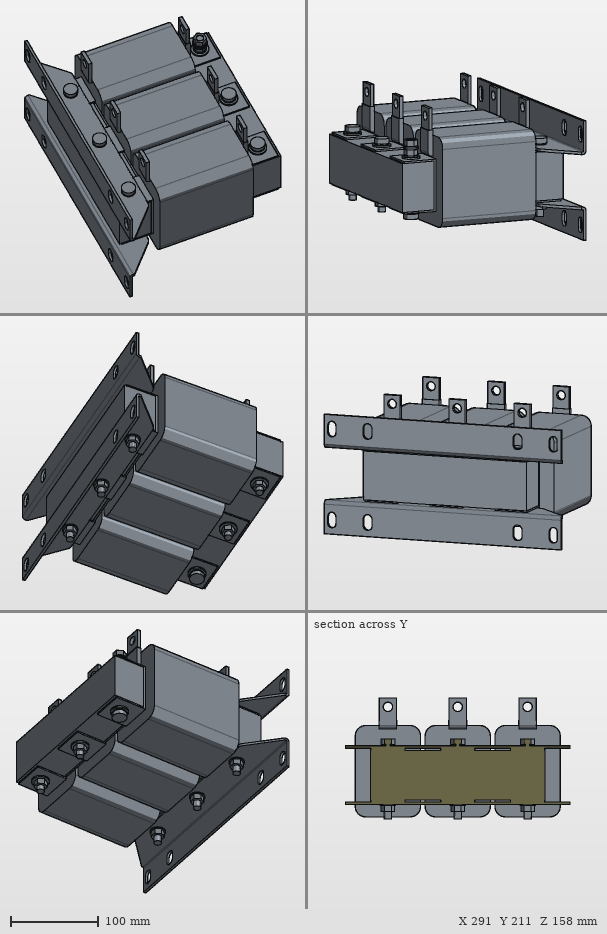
import cadquery as cq
import math


total_width = 291.0
total_depth = 211.0
total_height = 158.0
coil_pitch = 80.0
phase_positions = [-coil_pitch, 0, coil_pitch]

coil_width = 75.0
coil_height = 105.0
coil_bottom = 21.5
coil_front = 50.5
coil_rear = 168.2
coil_corner_radius = 12.2
coil_top = coil_bottom + coil_height

insulation_thickness = 2.0
insulation_inset = 0.3
insulation_width = coil_pitch / 2 - 2 * insulation_inset
insulation_setback = 3.0
yoke_width = 2.5 * coil_pitch
yoke_height = 57.0
yoke_depth = 40.0
yoke_gap = 3.0
spacer_clearance = 0.5
front_yoke_face = coil_front - yoke_gap - yoke_depth

bracket_height = 39.0
bracket_depth = 42.0
bracket_thickness = 3.2
bracket_end_depth = 5.8
bracket_rear_width = 213.5
bracket_corner_radius = 5.8
bend_inner_radius = 1.2
bend_outer_radius = bend_inner_radius + bracket_thickness
slot_height = 18.0
slot_level = 16.5
slots = [(136.2, 10.0), (92.2, 11.0)]

insulation_bottom = bracket_height
yoke_bottom = insulation_bottom + insulation_thickness
yoke_top = yoke_bottom + yoke_height
insulation_top = yoke_top + insulation_thickness
mid_height = (yoke_bottom + yoke_top) / 2
bracket_seat_top = insulation_top + bracket_thickness
bracket_seat_bottom = insulation_bottom - bracket_thickness

terminal_width = 20.0
terminal_thickness = 4.5
terminal_hole_diameter = 10.5
terminal_hole_drop = 10.2
terminal_clearance = 0.45
front_terminal_bottom = 122.5
rear_terminal_bottom = 102.0
terminal_bend_radius = 4.0
sleeve_width = 21.0
sleeve_thickness = 5.8
sleeve_top = 132.5

nut_across_flats = 13.5
nut_height = 7.0
stud_diameter = 8.7
front_bolt_y = 28.2
front_head_diameter = 16.3
front_head_height = 6.5
front_collar_diameter = 14.5
front_collar_height = 1.5
front_washer_diameter = 17.8
front_washer_height = 1.0
front_stud_end = 8.7
rear_bolt_y = 191.0
rear_head_diameter = 17.2
rear_head_height = 6.0
washer_diameter = 20.7
washer_height = 1.9
spring_washer_diameter = 15.5
spring_washer_height = 1.6
rear_stud_length = 15.5
upper_washer_height = 2.18
stud_recess = 1.5


def box(width, y_start, y_end, z_start, z_end, x=0):
    """Block centred on x between the given Y and Z limits."""
    block = cq.Workplane("XY").box(width, y_end - y_start, z_end - z_start, centered=(True, False, False))
    return block.translate((x, y_start, z_start))


def stack(x, y, z, direction, layers):
    """Fastener parts piled up from height z; direction is 1 for up, -1 for down.

    Each layer is (shape, size, height), with size a diameter or a distance across flats.
    """
    pile = cq.Workplane("XY")
    for shape, size, height in layers:
        plane = cq.Workplane("XY", origin=(x, y, z))
        if shape == "hex":
            outline = plane.polygon(6, size / math.cos(math.pi / 6))
        else:
            outline = plane.circle(size / 2)
        pile = pile.add(outline.extrude(direction * height))
        z += direction * height
    return pile.combine()


def coil(x):
    block = box(coil_width, coil_front, coil_rear, coil_bottom, coil_top, x)
    return block.edges("|Y").fillet(coil_corner_radius)


def core():
    """Two yokes, each with a slightly smaller spacer plate on the side facing the coils."""
    front_yoke_rear = front_yoke_face + yoke_depth
    rear_yoke_front = coil_rear + yoke_gap
    spacer_width = yoke_width - 2 * insulation_inset
    spacer_bottom = yoke_bottom + insulation_inset
    spacer_top = yoke_top - insulation_inset
    front_spacer_end = coil_front - spacer_clearance
    rear_spacer_end = coil_rear + spacer_clearance

    front = box(yoke_width, front_yoke_face, front_yoke_rear, yoke_bottom, yoke_top)
    rear = box(yoke_width, rear_yoke_front, total_depth, yoke_bottom, yoke_top)
    front = front.union(box(spacer_width, front_yoke_rear, front_spacer_end, spacer_bottom, spacer_top))
    return front.union(rear).union(
        box(spacer_width, rear_spacer_end, rear_yoke_front, spacer_bottom, spacer_top)
    )


def insulation(x):
    """Tongue above and below both yokes, modelled as a tall block around them."""
    y_start = front_yoke_face + insulation_setback
    y_end = total_depth - insulation_setback
    return box(insulation_width, y_start, y_end, insulation_bottom, insulation_top, x)


def lower_bracket():
    """Angle with a slotted front flange and a tapered plate under the core."""
    angle = box(total_width, 0, bracket_depth, 0, bracket_height)
    hollow = box(total_width, bracket_thickness, bracket_depth, 0, bracket_seat_bottom)
    hollow = hollow.edges("|X and >Z and <Y").fillet(bend_inner_radius)
    angle = angle.cut(hollow)
    angle = angle.edges("|X and >Z and <Y").fillet(bend_outer_radius)

    plan = (
        cq.Workplane("XY")
        .moveTo(-total_width / 2, 0)
        .lineTo(total_width / 2, 0)
        .lineTo(total_width / 2, bracket_end_depth)
        .lineTo(bracket_rear_width / 2, bracket_depth)
        .lineTo(-bracket_rear_width / 2, bracket_depth)
        .lineTo(-total_width / 2, bracket_end_depth)
        .close()
        .extrude(bracket_height)
        .edges("|Z and >Y")
        .fillet(bracket_corner_radius)
    )
    angle = angle.intersect(plan)

    for distance, width in slots:
        cutter = (
            cq.Workplane("XZ")
            .pushPoints([(-distance, slot_level), (distance, slot_level)])
            .slot2D(slot_height, width, 90)
            .extrude(-bracket_thickness)
        )
        angle = angle.cut(cutter)
    return angle


def terminal(x, y_coil, outward, bottom):
    """Upright strip bent out of the coil end; outward is -1 at the front and 1 at the rear."""
    y_inner = y_coil + outward * terminal_clearance
    y_outer = y_inner + outward * terminal_thickness
    strip = box(terminal_width, min(y_inner, y_outer), max(y_inner, y_outer), bottom, total_height, x)
    if outward > 0:
        y_sleeve = y_coil + sleeve_thickness
        strip = strip.union(box(sleeve_width, y_coil, y_sleeve, bottom, sleeve_top, x))
    outer_edge = ">Y" if outward > 0 else "<Y"
    strip = strip.faces("<Z").edges(outer_edge).fillet(terminal_bend_radius)
    root = box(
        terminal_width, min(y_coil, y_inner), max(y_coil, y_inner), bottom, bottom + terminal_thickness, x
    )
    hole = (
        cq.Workplane("XZ", origin=(x, 0, total_height - terminal_hole_drop))
        .circle(terminal_hole_diameter / 2)
        .extrude(-total_depth)
    )
    return strip.union(root).cut(hole)


def front_bolt(x):
    head = [
        ("round", front_collar_diameter, front_collar_height),
        ("round", front_head_diameter, front_head_height),
    ]
    nut = [
        ("round", front_washer_diameter, front_washer_height),
        ("hex", nut_across_flats, nut_height),
        ("round", stud_diameter, front_stud_end),
    ]
    upper = stack(x, front_bolt_y, bracket_seat_top, 1, head)
    return upper.union(stack(x, front_bolt_y, bracket_seat_bottom, -1, nut))


washers = [
    ("round", washer_diameter, washer_height),
    ("round", spring_washer_diameter, spring_washer_height),
]
rear_head = washers + [("round", rear_head_diameter, rear_head_height)]


def rear_bolt(x):
    """Bolt with its head on top and its nut below."""
    nut = [("round", washer_diameter, washer_height), ("hex", nut_across_flats, nut_height)]
    stud = [("round", stud_diameter, rear_stud_length)]
    bolt = stack(x, rear_bolt_y, insulation_top, 1, rear_head)
    bolt = bolt.union(stack(x, rear_bolt_y, insulation_bottom, -1, nut))
    return bolt.union(stack(x, rear_bolt_y, insulation_bottom, -1, stud))


def earth_bolt(x):
    """Bolt with its head below and two nuts on top, the stud ending inside the upper nut."""
    nuts = washers + [
        ("hex", nut_across_flats, nut_height),
        ("round", rear_head_diameter, upper_washer_height),
        ("round", spring_washer_diameter, spring_washer_height),
        ("hex", nut_across_flats, nut_height),
    ]
    top = insulation_top + sum(height for _, _, height in nuts)
    recess = stack(x, rear_bolt_y, top, -1, [("round", stud_diameter, stud_recess)])
    bolt = stack(x, rear_bolt_y, insulation_top, 1, nuts).cut(recess)
    return bolt.union(stack(x, rear_bolt_y, insulation_bottom, -1, rear_head))


bracket = lower_bracket()
result = core().union(bracket)
result = result.union(bracket.mirror("XY", (0, 0, mid_height)))

for phase_x in phase_positions:
    result = result.union(coil(phase_x)).union(insulation(phase_x))
    result = result.union(terminal(phase_x, coil_front, -1, front_terminal_bottom))
    result = result.union(terminal(phase_x, coil_rear, 1, rear_terminal_bottom))
    result = result.union(front_bolt(phase_x))

result = result.union(earth_bolt(phase_positions[0]))
for phase_x in phase_positions[1:]:
    result = result.union(rear_bolt(phase_x))